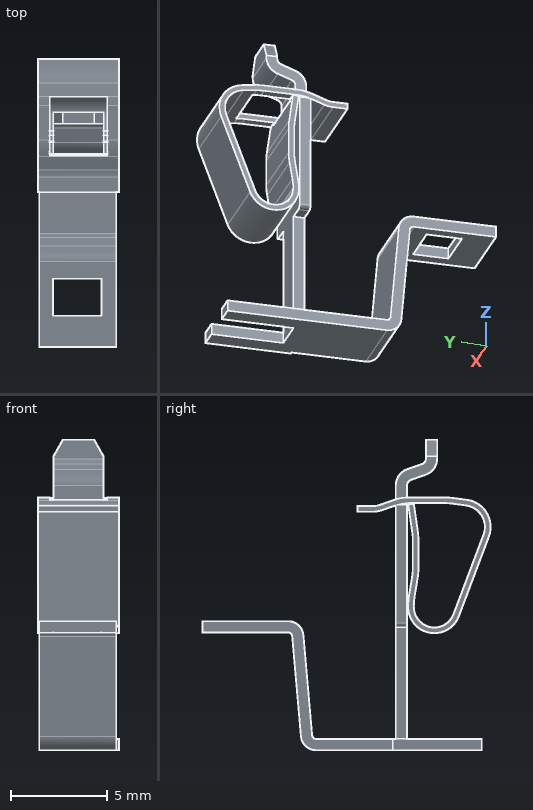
import cadquery as cq
import math

overall_width = 4.2
overall_height = 16.1
sheet = 0.6
bend_radius = 0.5

foot_left = -2.05
foot_right = 1.96
tine_end_y = 4.17
wide_edge_front = -0.45
base_bend_y = -4.88
shelf_bend_y = -5.41
shelf_end_y = -10.32
shelf_top = 6.7
hole_width = 2.51
hole_length = 1.9
hole_x = -0.06
hole_y = -7.73

stem_width = 1.9
neck_width = 2.6
plate_bottom = 6.38
plate_top = 12.72
plate_corner_radius = 0.23
tip_y = 1.56
neck_bend_z = 14.15
tip_bend_z = 14.7
neck_bend_radius = 0.6
tip_taper_width = 0.48
tip_taper_height = 0.85

clip_sheet = 0.3
upper_loop_radius = 1.27
lower_loop_radius = 1.2
soft_radius = 3.22
lip_radius = 1.29
crest_radius = 2.5
lip_end_y = -2.29
lip_bend_y = -1.27
lip_z = 12.51
clip_top_z = 12.96
crest_y = 0.02
heel_y = 2.45
leg_y = 0.5
bowed_leg_y = 0.74
window_width = 3.0
window_back = 2.67
window_front = -0.39
window_bottom = 12.67


def bent_strip(corners, radii, thickness, x_min, x_max):
    """Extrude a bent sheet along X; corners (Y, Z) and radii belong to its mid-line."""
    half = thickness / 2
    headings = []
    for start, end in zip(corners, corners[1:]):
        headings.append(math.atan2(end[1] - start[1], end[0] - start[0]))

    def side(sign):
        """Return (start, middle, end) of each arc, enclosed by the two strip ends."""
        def end_point(point, heading):
            y = point[0] - sign * half * math.sin(heading)
            z = point[1] + sign * half * math.cos(heading)
            return (y, z)

        arcs = []
        for corner, radius, before, after in zip(corners[1:-1], radii, headings, headings[1:]):
            turn = math.remainder(after - before, 2 * math.pi)
            inward = math.copysign(1, turn)
            setback = radius * math.tan(abs(turn) / 2)
            center_y = corner[0] - setback * math.cos(before) - inward * radius * math.sin(before)
            center_z = corner[1] - setback * math.sin(before) + inward * radius * math.cos(before)
            side_radius = radius - sign * inward * half
            arc = []
            for heading in (before, before + turn / 2, after):
                arc.append((center_y + inward * side_radius * math.sin(heading),
                            center_z - inward * side_radius * math.cos(heading)))
            arcs.append(arc)
        return end_point(corners[0], headings[0]), arcs, end_point(corners[-1], headings[-1])

    left_start, left_arcs, left_end = side(1)
    right_start, right_arcs, right_end = side(-1)
    outline = cq.Workplane("YZ", origin=(x_min, 0, 0)).moveTo(*left_start)
    for first, middle, last in left_arcs:
        outline = outline.lineTo(*first).threePointArc(middle, last)
    outline = outline.lineTo(*left_end).lineTo(*right_end)
    for first, middle, last in reversed(right_arcs):
        outline = outline.lineTo(*last).threePointArc(middle, first)
    return outline.lineTo(*right_start).close().extrude(x_max - x_min)


def block(x_range, y_range, z_range):
    size = [high - low for low, high in (x_range, y_range, z_range)]
    corner = (x_range[0], y_range[0], z_range[0])
    return cq.Workplane("XY").box(*size, centered=False).translate(corner)


def make_foot():
    corners = [
        (tine_end_y, sheet / 2),
        (base_bend_y, sheet / 2),
        (shelf_bend_y, shelf_top - sheet / 2),
        (shelf_end_y, shelf_top - sheet / 2),
    ]
    foot = bent_strip(corners, [bend_radius] * 2, sheet, foot_left, foot_right)
    wide_edge = block((stem_width / 2, overall_width / 2), (wide_edge_front, tine_end_y), (0, sheet))
    fork_gap = block((-stem_width / 2, stem_width / 2), (sheet / 2, tine_end_y), (0, sheet))
    hole = cq.Workplane("XY").box(hole_width, hole_length, sheet * 2)
    hole = hole.translate((hole_x, hole_y, shelf_top - sheet / 2))
    return foot.union(wide_edge).cut(fork_gap).cut(hole)


def make_post():
    stem = cq.Workplane("XY").box(stem_width, sheet, plate_bottom, centered=(True, True, False))
    plate = (
        cq.Workplane("XY", origin=(0, 0, plate_bottom))
        .box(overall_width, sheet, plate_top - plate_bottom, centered=(True, True, False))
        .edges("|Y and <Z")
        .fillet(plate_corner_radius)
    )
    neck_path = [(0, plate_bottom), (0, neck_bend_z), (tip_y, tip_bend_z), (tip_y, overall_height)]
    neck = bent_strip(neck_path, [neck_bend_radius] * 2, sheet, -neck_width / 2, neck_width / 2)
    tip_edge = neck_width / 2
    for direction in (-1, 1):
        taper = (
            cq.Workplane("XZ", origin=(0, tip_y + sheet, 0))
            .moveTo(direction * tip_edge, overall_height - tip_taper_height)
            .lineTo(direction * tip_edge, overall_height)
            .lineTo(direction * (tip_edge - tip_taper_width), overall_height)
            .close()
            .extrude(2 * sheet)
        )
        neck = neck.cut(taper)
    return stem.union(plate).union(neck)


def make_clip():
    corners = [
        (lip_end_y, lip_z),
        (lip_bend_y, lip_z),
        (crest_y, clip_top_z),
        (heel_y, clip_top_z),
        (4.96, 12.62),
        (leg_y, 0.8),
        (leg_y, 7.76),
        (bowed_leg_y, 9.21),
        (bowed_leg_y, 11.08),
        (leg_y, 12.77),
    ]
    radii = [lip_radius, crest_radius, soft_radius, upper_loop_radius, lower_loop_radius]
    radii += [soft_radius] * 3
    clip = bent_strip(corners, radii, clip_sheet, -overall_width / 2, overall_width / 2)
    window = block(
        (-window_width / 2, window_width / 2),
        (window_front, window_back),
        (window_bottom, overall_height),
    )
    return clip.cut(window)


result = make_foot().union(make_post()).union(make_clip())